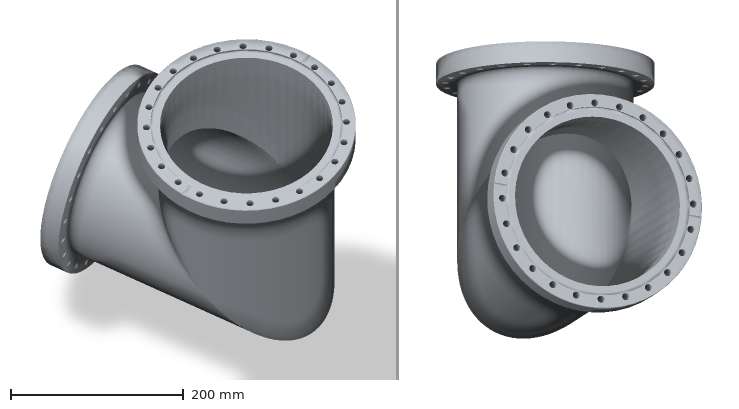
import cadquery as cq

overall = 329.5
flange_diameter = 253.0
face_distance = overall - flange_diameter / 2

flange_thickness = 24.7
edge_chamfer = 0.5
bore_diameter = 200.0
socket_diameter = 204.5
seat_depth = 9.0

recess_diameter = 222.5
knife_diameter = 216.5
recess_depth = 2.5
seal_face_depth = 1.5

bolt_count = 24
bolt_circle_diameter = 231.5
bolt_hole_diameter = 8.2
bolt_pitch_angle = 360 / bolt_count
first_bolt_angle = bolt_pitch_angle / 8
groove_angle = first_bolt_angle + 90 - bolt_pitch_angle / 2
groove_width = 3.5
groove_depth = 1.0

tube_outer_diameter = 204.0
tube_length = face_distance - seat_depth

top_port = cq.Plane(origin=(0, 0, 0), xDir=(1, 0, 0), normal=(0, 0, 1))
side_port = cq.Plane(origin=(0, 0, 0), xDir=(0, 0, -1), normal=(-1, 0, 0))


def flange_blank():
    """Revolved ring with the sealing recess, bore and tube socket."""
    back = face_distance - flange_thickness
    seat = face_distance - seat_depth
    seal_face = face_distance - seal_face_depth
    recess_floor = face_distance - recess_depth
    outer_radius = flange_diameter / 2
    profile = [
        (socket_diameter / 2, back),
        (outer_radius, back),
        (outer_radius, face_distance - edge_chamfer),
        (outer_radius - edge_chamfer, face_distance),
        (recess_diameter / 2, face_distance),
        (recess_diameter / 2, recess_floor),
        (knife_diameter / 2, seal_face),
        (bore_diameter / 2, seal_face),
        (bore_diameter / 2, seat),
        (socket_diameter / 2, seat),
    ]
    return cq.Workplane("XZ").polyline(profile).close().revolve(360, (0, 0, 0), (0, 1, 0))


def bolt_holes():
    """Cutters for the ring of through holes."""
    return (
        cq.Workplane("XY", origin=(0, 0, face_distance - flange_thickness))
        .polarArray(bolt_circle_diameter / 2, first_bolt_angle, 360, bolt_count)
        .circle(bolt_hole_diameter / 2)
        .extrude(flange_thickness)
    )


def leak_groove(angle):
    """Cutter for a shallow round-bottomed groove from the recess to the rim."""
    groove_radius = (groove_width**2 / 4 + groove_depth**2) / (2 * groove_depth)
    start = (recess_diameter + knife_diameter) / 4
    groove_axis_height = face_distance - groove_depth + groove_radius
    return (
        cq.Workplane("YZ", origin=(start, 0, groove_axis_height))
        .circle(groove_radius)
        .extrude(flange_diameter / 2 - start + groove_width)
        .rotate((0, 0, 0), (0, 0, 1), angle)
    )


def make_flange(port):
    """Flange standing on the given port."""
    flange = flange_blank().cut(bolt_holes())
    for angle in (groove_angle, groove_angle + 180):
        flange = flange.cut(leak_groove(angle))
    return flange.val().moved(cq.Location(port))


def miter_wedge():
    """Region on the port side of the 45 degree miter plane through the crossing."""
    reach = tube_outer_diameter
    return (
        cq.Workplane("XZ")
        .polyline([(-reach, reach), (reach, -reach), (reach, reach)])
        .close()
        .extrude(reach, both=True)
    )


def make_tube(port):
    """Tube running out to the given port, mitred at the axis crossing."""
    tube = (
        cq.Workplane("XY", origin=(0, 0, -tube_outer_diameter))
        .circle(tube_outer_diameter / 2)
        .circle(bore_diameter / 2)
        .extrude(tube_outer_diameter + tube_length)
        .intersect(miter_wedge())
    )
    return tube.val().moved(cq.Location(port))


ports = (top_port, side_port)
flanges = [make_flange(port) for port in ports]
tubes = [make_tube(port) for port in ports]

result = cq.Compound.makeCompound([*flanges, *tubes])